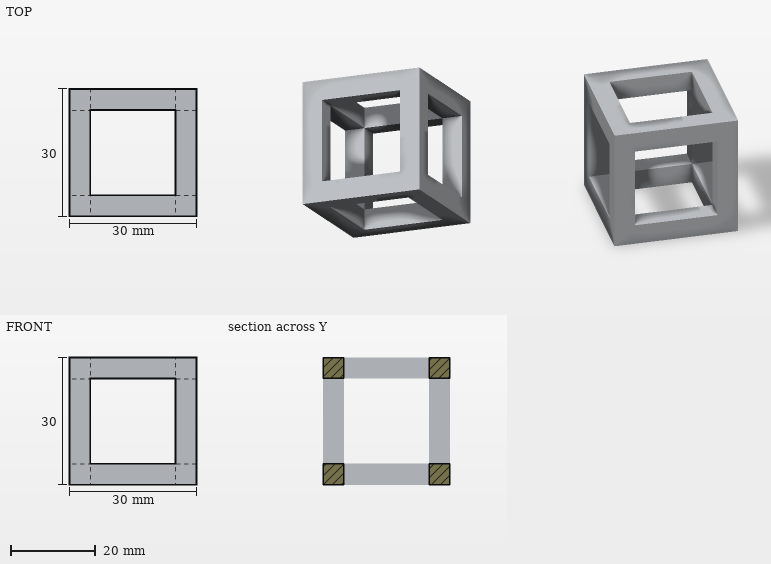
import cadquery as cq

side = 30.0
bar_width = side / 6
opening = side - 2 * bar_width


def square_passage(plane):
    """Square bar through the whole cube, centred and normal to the plane."""
    return cq.Workplane(plane).rect(opening, opening).extrude(side / 2, both=True)


result = cq.Workplane("XY").box(side, side, side)
for plane in ("XY", "XZ", "YZ"):
    result = result.cut(square_passage(plane))